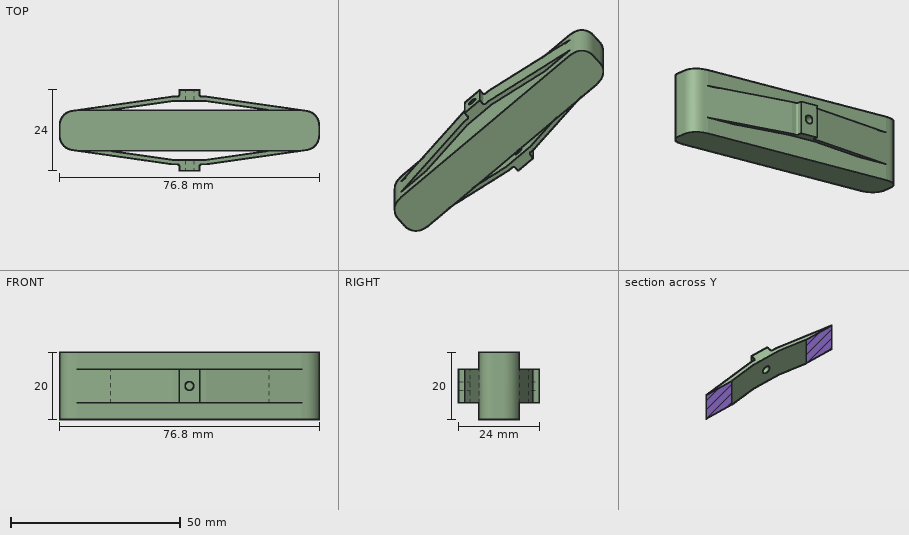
import cadquery as cq
import math

length = 76.8
height = 20.0
core_width = 12.05
end_flat_width = 3.1
taper_start_x = 33.2

strap_height = height / 2
strap_thickness = 1.4
strap_flat_half = 4.9
strap_outer_y = 10.1
boss_width = 6.0
boss_face_y = 12.0
boss_fillet = 0.5
hole_diameter = 2.5

half_core = core_width / 2
slope = math.atan2(strap_outer_y - half_core, taper_start_x - strap_flat_half)

taper_offset = taper_start_x * math.sin(slope) + half_core * math.cos(slope)
flat_edge_offset = length / 2 * math.sin(slope) + end_flat_width / 2 * math.cos(slope)
corner_radius = (taper_offset - flat_edge_offset) / (1 - math.sin(slope))

strap_inner_y = strap_outer_y - strap_thickness
inner_flat_half = strap_flat_half - strap_thickness * math.tan(slope / 2)
inner_end_x = inner_flat_half + (strap_inner_y - half_core) / math.tan(slope)


def corner_point(angle):
    """Point on the corner arc in the +X +Y quadrant, angle measured from +X."""
    return (
        length / 2 - corner_radius + corner_radius * math.cos(angle),
        end_flat_width / 2 + corner_radius * math.sin(angle),
    )


def make_core():
    """Bar joined from four mirrored quarter outlines."""
    tangent_angle = math.pi / 2 - slope
    quarter = (
        cq.Workplane("XY", origin=(0, 0, -height / 2))
        .lineTo(length / 2, 0)
        .lineTo(length / 2, end_flat_width / 2)
        .threePointArc(corner_point(tangent_angle / 2), corner_point(tangent_angle))
        .lineTo(taper_start_x, half_core)
        .lineTo(0, half_core)
        .close()
        .extrude(height)
    )
    half = quarter.union(quarter.mirror("YZ"))
    return half.union(half.mirror("XZ")).clean()


def make_strap():
    """Strap on the +Y side, its ends running into the long face of the core."""
    band = (
        cq.Workplane("XY", origin=(0, 0, -strap_height / 2))
        .polyline([
            (-taper_start_x, half_core),
            (-strap_flat_half, strap_outer_y),
            (strap_flat_half, strap_outer_y),
            (taper_start_x, half_core),
            (inner_end_x, half_core),
            (inner_flat_half, strap_inner_y),
            (-inner_flat_half, strap_inner_y),
            (-inner_end_x, half_core),
        ])
        .close()
        .extrude(strap_height)
    )
    boss_depth = boss_face_y - strap_inner_y
    boss = cq.Workplane("XY").box(boss_width, boss_depth, strap_height)
    boss = boss.translate((0, boss_face_y - boss_depth / 2, 0))
    inner_corners = cq.selectors.BoxSelector(
        (-boss_width / 2 - boss_fillet, strap_outer_y - boss_fillet, -strap_height),
        (boss_width / 2 + boss_fillet, strap_outer_y + boss_fillet, strap_height),
    )
    strap = band.union(boss).edges("|Z").edges(inner_corners).fillet(boss_fillet)
    hole = (
        cq.Workplane("XZ", origin=(0, boss_face_y, 0))
        .circle(hole_diameter / 2)
        .extrude(boss_depth)
    )
    return strap.cut(hole)


strap = make_strap()
result = make_core().union(strap).union(strap.mirror("XZ")).clean()